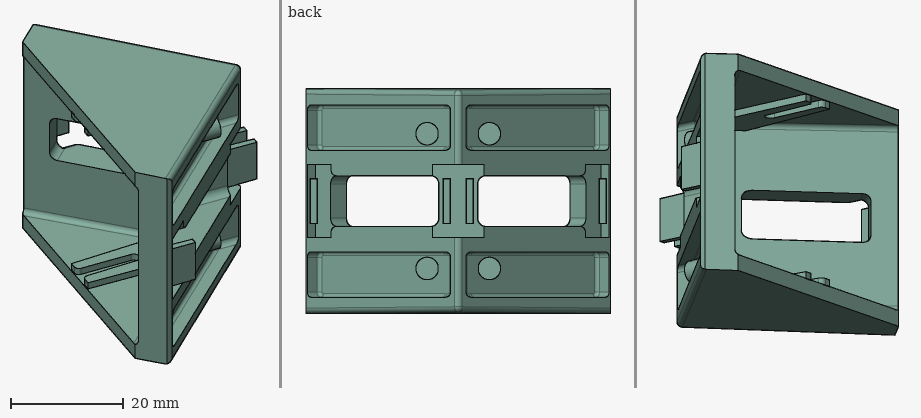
import cadquery as cq
import math


ROOT_2 = math.sqrt(2)

length = 54.15
height = 40.0
apex_y = 32.3
leg_length = 39.0
leg_thickness = 6.05
wall_thickness = 2.9
outer_draft_angle = 0.5
cavity_draft_angle = 1.0
edge_radius = 1.0
inner_corner_radius = 3.0

window_height = 9.0
window_inner_x = 3.45
window_end_run = 34.1
window_radius = 1.45

notch_height = 13.0
apex_notch_y = 27.7
end_notch_inner_x = 22.6
end_notch_depth = 2.05
pocket_end_run = 37.9

tab_height = 8.0
tab_thickness = 1.3
apex_tab_x = 2.05
apex_tab_tip_y = 33.9
end_tab_x = 25.65
end_tab_base_y = 3.8
end_tab_tip_y = 10.25

recess_height = 8.05
recess_z = 13.05
recess_depth = 3.05
recess_inner_x = 1.35
recess_floor_radius = 0.65
post_radius = 2.0
post_x = 5.5
post_z = 11.95
post_tip_y = 24.4

pad_thickness = 1.3
pad_front_half_width = 3.35
pad_rear_half_width = 4.1
pad_rear_y = 23.3
pad_front_y = 0.15
pad_slot_mouth_width = 2.6
pad_slot_end_width = 2.15
pad_slot_end_y = 11.9
pad_tip_radius = 0.9

overcut = 0.55

cavity_half_height = height / 2 - wall_thickness


def leg_point(run, depth):
    """XY point of the +X leg."""
    return ((run - depth) / ROOT_2, apex_y - (run + depth) / ROOT_2)


def leg_point_at_x(x, depth):
    """XY point of the +X leg at a given X and depth."""
    return (x, apex_y - x - depth * ROOT_2)


def prism(points, prism_height, center_z=0):
    """Solid with an XY outline, centred on a Z level."""
    plane = cq.Workplane("XY").workplane(offset=center_z)
    return plane.polyline(points).close().extrude(prism_height / 2, both=True)


def drafted_slab(front_half_height, draft_angle):
    """Slab across X whose half height shrinks evenly with Y."""
    shrink = apex_y * math.tan(math.radians(draft_angle))
    outline = [
        (-apex_y, front_half_height + shrink),
        (apex_y, front_half_height - shrink),
        (apex_y, -front_half_height + shrink),
        (-apex_y, -front_half_height - shrink),
    ]
    return cq.Workplane("YZ").polyline(outline).close().extrude(length, both=True)


def both_sides(solid):
    """Solid together with its mirror image across X = 0."""
    return solid.union(solid.mirror("YZ"))


def both_walls(solid):
    """Solid together with its mirror image across Z = 0."""
    return solid.union(solid.mirror("XY"))


def make_shell():
    """Solid outer body, before the cavity and the cutouts."""
    end_x, end_y = leg_point(leg_length, 0)
    front_x = end_x - end_y
    plan = prism(
        [(0, apex_y), (end_x, end_y), (front_x, 0), (-front_x, 0), (-end_x, end_y)],
        2 * height,
    )
    plan = plan.edges("|Z and >Y").fillet(edge_radius)
    shell = plan.intersect(drafted_slab(height / 2, outer_draft_angle))
    for low_z, high_z in ((0, height), (-height, 0)):
        rear_zone = cq.selectors.BoxSelector((-length, end_y, low_z), (length, apex_y, high_z))
        shell = shell.edges("not |Z").edges(rear_zone).fillet(edge_radius)
    return shell.intersect(cq.Workplane("XY").box(length, 4 * apex_y, 2 * height))


def make_cavity():
    """Cavity cutter between the legs and the walls, open to the front."""
    inner_apex_y = apex_y - leg_thickness * ROOT_2
    front_x = inner_apex_y + apex_y
    plan = prism([(0, inner_apex_y), (front_x, -apex_y), (-front_x, -apex_y)], 2 * height)
    plan = plan.edges("|Z and >Y").fillet(inner_corner_radius)
    cavity = plan.intersect(drafted_slab(cavity_half_height, cavity_draft_angle))
    return cavity.edges("not |Z").edges("not <Y").fillet(edge_radius)


def make_window():
    """Window cutter: inboard wall parallel to Y, outboard wall square to the leg."""
    deep = leg_thickness + overcut
    window = prism(
        [
            leg_point_at_x(window_inner_x, -overcut),
            leg_point_at_x(window_inner_x, deep),
            leg_point(window_end_run, deep),
            leg_point(window_end_run, -overcut),
        ],
        window_height,
    )
    return window.edges("|Y or |(1,1,0)").fillet(window_radius)


def make_apex_notch():
    """Notch cutter across the rear apex with a floor square to Y."""
    plane = cq.Workplane("XZ", origin=(0, apex_notch_y, 0))
    return plane.rect(length, notch_height).extrude(-length)


def make_end_notch():
    """Notch cutter around the end tab, blended into the long sides of the window."""
    half_window = window_height / 2
    half_notch = notch_height / 2
    blend_x = end_notch_inner_x - edge_radius
    blend_z = half_window + edge_radius
    arc_mid_x = blend_x + edge_radius / ROOT_2
    arc_mid_z = blend_z - edge_radius / ROOT_2
    outline = (
        cq.Workplane("XZ")
        .moveTo(blend_x, -half_window)
        .lineTo(blend_x, half_window)
        .threePointArc((arc_mid_x, arc_mid_z), (end_notch_inner_x, blend_z))
        .lineTo(end_notch_inner_x, half_notch)
        .lineTo(length, half_notch)
        .lineTo(length, -half_notch)
        .lineTo(end_notch_inner_x, -half_notch)
        .lineTo(end_notch_inner_x, -blend_z)
        .threePointArc((arc_mid_x, -arc_mid_z), (blend_x, -half_window))
        .close()
        .extrude(length, both=True)
    )
    depth_limit = prism(
        [
            leg_point(0, -overcut),
            leg_point(0, end_notch_depth),
            leg_point(pocket_end_run, end_notch_depth),
            leg_point(pocket_end_run, -overcut),
        ],
        notch_height,
    )
    return outline.intersect(depth_limit)


def make_recess():
    """Recess cutter in an outer face, with its post left standing."""
    recess = prism(
        [
            leg_point_at_x(recess_inner_x, -overcut),
            leg_point_at_x(recess_inner_x, recess_depth),
            leg_point(pocket_end_run, recess_depth),
            leg_point(pocket_end_run, -overcut),
        ],
        recess_height,
        recess_z,
    )
    recess = recess.edges("|Y or |(1,1,0)").fillet(edge_radius)
    recess = recess.faces("<(1,1,0)").edges().fillet(recess_floor_radius)
    post_base_y = leg_point_at_x(post_x + post_radius, recess_depth)[1]
    post = (
        cq.Workplane("ZX", origin=(post_x, post_base_y, post_z))
        .circle(post_radius)
        .extrude(post_tip_y - post_base_y)
    )
    return recess.cut(post)


def make_tab(x, base_y, tip_y):
    """Slightly tapered tab standing up along Y."""
    plane = cq.Workplane("ZX", origin=(x, base_y, 0))
    return plane.rect(tab_height, tab_thickness).extrude(tip_y - base_y, taper=outer_draft_angle)


def make_pads():
    """Forked pads on the inner faces of both walls, running into the inner apex."""
    plan = prism(
        [
            (-pad_front_half_width, pad_front_y),
            (pad_front_half_width, pad_front_y),
            (pad_rear_half_width, pad_rear_y),
            (-pad_rear_half_width, pad_rear_y),
        ],
        height,
    )
    mouth_x = pad_slot_mouth_width / 2
    end_x = pad_slot_end_width / 2
    slot = (
        cq.Workplane("XY")
        .moveTo(-mouth_x, pad_front_y)
        .lineTo(-end_x, pad_slot_end_y - end_x)
        .threePointArc((0, pad_slot_end_y), (end_x, pad_slot_end_y - end_x))
        .lineTo(mouth_x, pad_front_y)
        .close()
        .extrude(height, both=True)
    )
    plan = plan.cut(slot)
    slot_mouth = cq.selectors.BoxSelector(
        (-mouth_x - overcut, -overcut, -overcut), (mouth_x + overcut, overcut, overcut)
    )
    plan = plan.edges("|Z").edges(slot_mouth).fillet(pad_tip_radius)
    embedded = drafted_slab(cavity_half_height + overcut, cavity_draft_angle)
    clear_space = drafted_slab(cavity_half_height - pad_thickness, cavity_draft_angle)
    return plan.intersect(embedded.cut(clear_space))


apex_tab = make_tab(apex_tab_x, apex_notch_y, apex_tab_tip_y)
end_tab = make_tab(end_tab_x, end_tab_base_y, end_tab_tip_y)

result = (
    make_shell()
    .cut(make_cavity())
    .cut(both_sides(make_window()))
    .cut(make_apex_notch())
    .cut(both_sides(make_end_notch()))
    .cut(both_sides(both_walls(make_recess())))
    .union(make_pads())
    .union(both_sides(apex_tab.union(end_tab)))
)